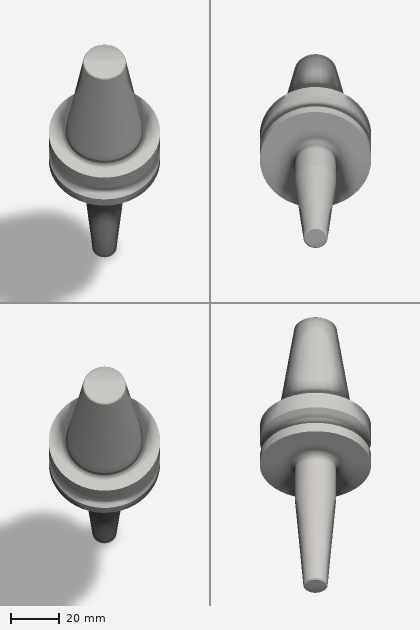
import cadquery as cq
import math

total_height = 133.4
gauge_height = 85.0
flange_top = 83.0
flange_bottom = 63.0

taper_ratio = 7 / 24
gauge_radius = 15.9
taper_top_radius = gauge_radius - (total_height - gauge_height) * taper_ratio / 2
taper_edge_chamfer = 0.4
neck_radius = 15.7
neck_step_height = 0.8
neck_fillet = 0.7
recess_radius = 17.3
recess_depth = 0.3

flange_radius = 46.0 / 2
groove_radius = 19.1
groove_top = 75.4
groove_bottom = 67.4
groove_half_angle = math.radians(30)
groove_fillet = 1.0

shank_radius = 17.0 / 2
shank_bottom = 44.4
shank_fillet = 2.3
tip_radius = 10.0 / 2
tip_chamfer = 0.5

groove_wall_height = (flange_radius - groove_radius) * math.tan(groove_half_angle)
fillet_reach = groove_fillet * math.tan(math.pi / 4 - groove_half_angle / 2)
reach_out = fillet_reach * math.cos(groove_half_angle)
reach_up = fillet_reach * math.sin(groove_half_angle)
lower_corner = groove_bottom + groove_wall_height
upper_corner = groove_top - groove_wall_height
recess_floor = flange_top - recess_depth

profile = (
    cq.Workplane("XZ")
    .lineTo(tip_radius - tip_chamfer, 0)
    .lineTo(tip_radius, tip_chamfer)
    .lineTo(shank_radius, shank_bottom)
    .lineTo(shank_radius, flange_bottom - shank_fillet)
    .radiusArc((shank_radius + shank_fillet, flange_bottom), shank_fillet)
    .lineTo(flange_radius, flange_bottom)
    .lineTo(flange_radius, groove_bottom)
    .lineTo(groove_radius + reach_out, lower_corner - reach_up)
    .radiusArc((groove_radius, lower_corner + fillet_reach), groove_fillet)
    .lineTo(groove_radius, upper_corner - fillet_reach)
    .radiusArc((groove_radius + reach_out, upper_corner + reach_up), groove_fillet)
    .lineTo(flange_radius, groove_top)
    .lineTo(flange_radius, flange_top)
    .lineTo(recess_radius, flange_top)
    .lineTo(recess_radius, recess_floor)
    .lineTo(neck_radius + neck_fillet, recess_floor)
    .radiusArc((neck_radius, recess_floor + neck_fillet), neck_fillet)
    .lineTo(neck_radius, gauge_height - neck_step_height)
    .lineTo(gauge_radius, gauge_height)
    .lineTo(taper_top_radius, total_height - taper_edge_chamfer)
    .lineTo(taper_top_radius - taper_edge_chamfer, total_height)
    .lineTo(0, total_height)
    .close()
)

result = profile.revolve(360, (0, 0, 0), (0, 1, 0))